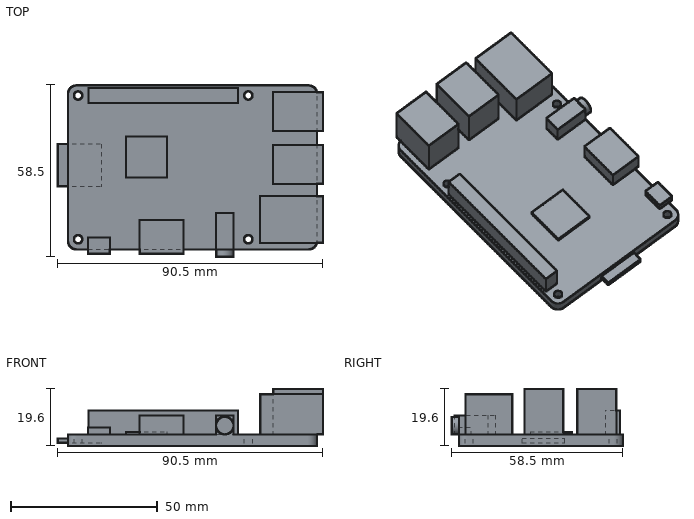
import cadquery as cq

BOARD_LENGTH = 85.0
BOARD_WIDTH = 56.0
BOARD_THICKNESS = 4.05
CORNER_RADIUS = 3.0

HOLE_DIAMETER = 2.75
HOLE_INSET = 3.5
HOLE_SPACING_X = 58.0
HOLE_SPACING_Y = 49.0
HOLE_CENTRE_X = HOLE_INSET + HOLE_SPACING_X / 2

HEADER_LENGTH = 51.0
HEADER_WIDTH = 5.0
HEADER_HEIGHT = 8.2
HEADER_CENTRE_Y = BOARD_WIDTH - HOLE_INSET

CHIP_SIZE = 14.0
CHIP_HEIGHT = 0.8
CHIP_X = 19.8
CHIP_Y = 24.5

FRONT_OVERHANG = 1.5
POWER_WIDTH = 7.5
POWER_DEPTH = 5.6
POWER_HEIGHT = 2.4
POWER_CENTRE_X = 10.6
HDMI_WIDTH = 15.0
HDMI_DEPTH = 11.5
HDMI_HEIGHT = 6.5
HDMI_CENTRE_X = 32.0

JACK_DIAMETER = 6.0
JACK_BODY_DEPTH = 12.5
JACK_BODY_HEIGHT = 6.5
JACK_BARREL_LENGTH = 2.5
JACK_CENTRE_X = 53.5

RIGHT_OVERHANG = 2.0
SOCKET_END_X = BOARD_LENGTH + RIGHT_OVERHANG
USB_DEPTH = 17.0
USB_WIDTH = 13.3
USB_HEIGHT = 15.5
USB_CENTRES_Y = (29.0, 47.0)
ETHERNET_DEPTH = 21.5
ETHERNET_WIDTH = 16.0
ETHERNET_HEIGHT = 13.7
ETHERNET_CENTRE_Y = 10.25

CARD_LENGTH = 15.0
CARD_WIDTH = 14.5
CARD_THICKNESS = 1.5
CARD_OVERHANG = 3.5
CARD_Y = 21.5
CARD_Z = 1.15


def block(x, y, z, length, width, height):
    """Box with its lowest corner at (x, y, z)."""
    return cq.Workplane("XY").box(length, width, height, centered=False).translate((x, y, z))


def on_board(x, y, length, width, height):
    """Box standing on the top face of the board."""
    return block(x, y, BOARD_THICKNESS, length, width, height)


def make_board():
    board = block(0, 0, 0, BOARD_LENGTH, BOARD_WIDTH, BOARD_THICKNESS)
    board = board.edges("|Z").fillet(CORNER_RADIUS)
    holes = (
        cq.Workplane("XY")
        .center(HOLE_CENTRE_X, BOARD_WIDTH / 2)
        .rect(HOLE_SPACING_X, HOLE_SPACING_Y, forConstruction=True)
        .vertices()
        .circle(HOLE_DIAMETER / 2)
        .extrude(BOARD_THICKNESS)
    )
    slot = block(0, CARD_Y, 0, CARD_LENGTH - CARD_OVERHANG, CARD_WIDTH, CARD_Z)
    return board.cut(holes).cut(slot)


def make_card():
    return block(-CARD_OVERHANG, CARD_Y, CARD_Z, CARD_LENGTH, CARD_WIDTH, CARD_THICKNESS)


def make_header():
    x = HOLE_CENTRE_X - HEADER_LENGTH / 2
    y = HEADER_CENTRE_Y - HEADER_WIDTH / 2
    return on_board(x, y, HEADER_LENGTH, HEADER_WIDTH, HEADER_HEIGHT)


def make_chip():
    return on_board(CHIP_X, CHIP_Y, CHIP_SIZE, CHIP_SIZE, CHIP_HEIGHT)


def make_front_connector(centre_x, width, depth, height):
    return on_board(centre_x - width / 2, -FRONT_OVERHANG, width, depth, height)


def make_audio_jack():
    body = on_board(
        JACK_CENTRE_X - JACK_DIAMETER / 2, 0, JACK_DIAMETER, JACK_BODY_DEPTH, JACK_BODY_HEIGHT
    )
    barrel = (
        cq.Workplane("XZ")
        .center(JACK_CENTRE_X, BOARD_THICKNESS + JACK_DIAMETER / 2)
        .circle(JACK_DIAMETER / 2)
        .extrude(JACK_BARREL_LENGTH)
    )
    return body.union(barrel)


def make_socket(centre_y, depth, width, height):
    return on_board(SOCKET_END_X - depth, centre_y - width / 2, depth, width, height)


result = make_board()
result = result.union(make_card())
result = result.union(make_header())
result = result.union(make_chip())
result = result.union(make_front_connector(POWER_CENTRE_X, POWER_WIDTH, POWER_DEPTH, POWER_HEIGHT))
result = result.union(make_front_connector(HDMI_CENTRE_X, HDMI_WIDTH, HDMI_DEPTH, HDMI_HEIGHT))
result = result.union(make_audio_jack())
for usb_centre_y in USB_CENTRES_Y:
    result = result.union(make_socket(usb_centre_y, USB_DEPTH, USB_WIDTH, USB_HEIGHT))
result = result.union(make_socket(ETHERNET_CENTRE_Y, ETHERNET_DEPTH, ETHERNET_WIDTH, ETHERNET_HEIGHT))